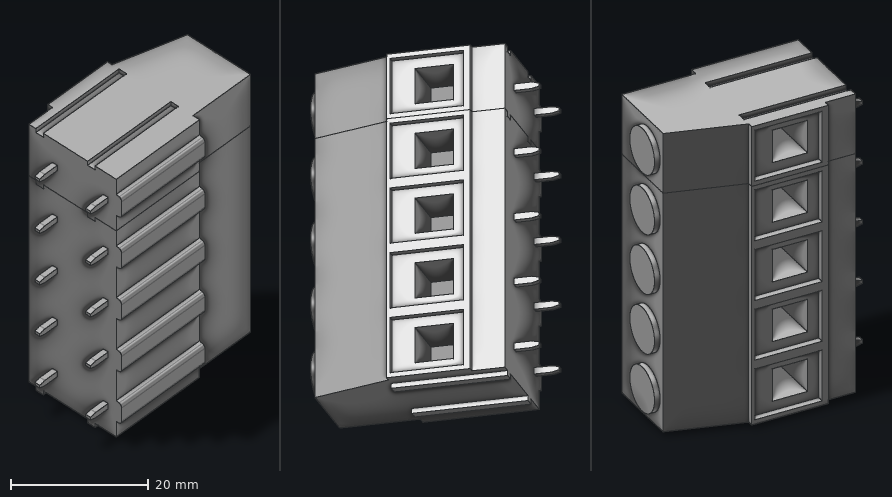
import cadquery as cq


pitch = 10.15
lower_poles = 4
upper_poles = 1

lip_depth = 0.95
back_x = 18.4
tower_front_x = 4.5
tower_back_x = 17.15
lip_bottom_y = 5.0
shoulder_y = 17.75
tower_top_y = 30.05

key_width = 1.5
key_depth = 0.75
key_starts_x = [2.3, 12.7]

tab_reach = 1.1
tab_root_height = 4.25
tab_tip_height = 3.7
tab_corner_radius = 0.65

frame_lower_margin = 1.05
frame_upper_margin = 0.5
frame_bottom_y = lip_bottom_y + frame_lower_margin
frame_top_y = shoulder_y - frame_upper_margin
frame_height = 8.65
frame_depth = 1.1
wire_hole_rise = 2.9
wire_hole_bottom_y = lip_bottom_y + wire_hole_rise
wire_hole_width = 5.85
wire_hole_height = 5.5

screw_x = 9.2
screw_diameter = 7.55
screw_rise = 0.95

pin_width = 1.0
pin_thickness = 1.05
pin_tip_thickness = 0.5
pin_length = 3.75
pin_taper_length = 1.1
pin_front_x = 6.15
pin_row_spacing = pitch


def box_between(x_range, y_range, z_range):
    """Box given by its lower and upper limits along each axis."""
    sizes = [high - low for low, high in (x_range, y_range, z_range)]
    corner = (x_range[0], y_range[0], z_range[0])
    return cq.Workplane("XY").box(*sizes, centered=False).translate(corner)


def profile(bottom_z, height):
    """Housing cross-section extruded along the row."""
    outline = [
        (lip_depth, 0),
        (back_x, 0),
        (back_x, shoulder_y),
        (tower_back_x, shoulder_y),
        (tower_back_x, tower_top_y),
        (tower_front_x, tower_top_y),
        (lip_depth, shoulder_y),
        (0, shoulder_y),
        (0, lip_bottom_y),
        (lip_depth, lip_bottom_y),
    ]
    return cq.Workplane("XY").workplane(offset=bottom_z).polyline(outline).close().extrude(height)


def key(start_x, top_z):
    """Key bar hanging below the level top_z."""
    return box_between((start_x, start_x + key_width), (0, shoulder_y), (top_z - key_depth, top_z))


def tab(center_z):
    """Tapered tab on the back face with rounded outer corners."""
    root = tab_root_height / 2
    tip = tab_tip_height / 2
    tip_x = back_x + tab_reach
    outline = [
        (back_x, center_z - root),
        (tip_x, center_z - tip),
        (tip_x, center_z + tip),
        (back_x, center_z + root),
    ]
    plain_tab = cq.Workplane("XZ").polyline(outline).close().extrude(-shoulder_y)
    return plain_tab.edges("|Y and >X").fillet(tab_corner_radius)


def wire_entry(center_z):
    """Frame recess and the wire hole, which ends at the screw axis."""
    frame = box_between(
        (0, frame_depth),
        (frame_bottom_y, frame_top_y),
        (center_z - frame_height / 2, center_z + frame_height / 2),
    )
    hole = box_between(
        (0, screw_x),
        (wire_hole_bottom_y, wire_hole_bottom_y + wire_hole_width),
        (center_z - wire_hole_height / 2, center_z + wire_hole_height / 2),
    )
    return frame.union(hole)


def screw_head(center_z):
    """Round head standing on the screw face."""
    face = cq.Workplane("XZ", origin=(screw_x, tower_top_y, center_z))
    return face.circle(screw_diameter / 2).extrude(-screw_rise)


def pin(center_x, center_z):
    """Flat solder pin below the board face, tapered in thickness at its tip."""
    half = pin_thickness / 2
    half_tip = pin_tip_thickness / 2
    taper_start_y = pin_taper_length - pin_length
    outline = [
        (0, -half),
        (0, half),
        (taper_start_y, half),
        (-pin_length, half_tip),
        (-pin_length, -half_tip),
        (taper_start_y, -half),
    ]
    side = cq.Workplane("YZ", origin=(center_x - pin_width / 2, 0, center_z))
    return side.polyline(outline).close().extrude(pin_width)


def module(bottom_z, poles):
    """One housing with its keys, grooves and the features of every pole."""
    top_z = bottom_z + poles * pitch
    body = profile(bottom_z, poles * pitch)
    for start_x in key_starts_x:
        body = body.cut(key(start_x, top_z)).union(key(start_x, bottom_z))
    for index in range(poles):
        center_z = bottom_z + (index + 0.5) * pitch
        body = body.cut(wire_entry(center_z))
        body = body.union(tab(center_z)).union(screw_head(center_z))
        for center_x in (pin_front_x, pin_front_x + pin_row_spacing):
            body = body.union(pin(center_x, center_z))
    return body


lower_module = module(0, lower_poles)
upper_module = module(lower_poles * pitch, upper_poles)

result = cq.Compound.makeCompound([lower_module.val(), upper_module.val()])